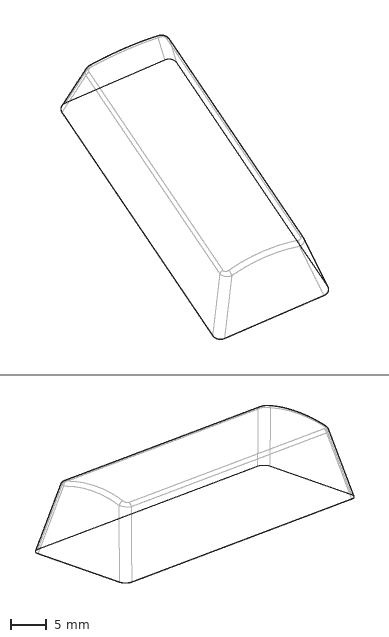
import cadquery as cq

LENGTH = 46.9
WIDTH = 18.3
HEIGHT = 11.4

DRAFT_ANGLE = 14.0
CROWN_RADIUS = 21.55
CORNER_RADIUS = 1.25
TOP_EDGE_RADIUS = 0.7


def tapered_block():
    """Rectangular block whose walls all lean inward."""
    return cq.Workplane("XY").rect(LENGTH, WIDTH).extrude(HEIGHT, taper=DRAFT_ANGLE)


def crown_cylinder():
    """Cylinder along X whose highest line is at the full height of the part."""
    return (
        cq.Workplane("YZ")
        .center(0, HEIGHT - CROWN_RADIUS)
        .circle(CROWN_RADIUS)
        .extrude(LENGTH / 2, both=True)
    )


def round_slanted_corners(body):
    """Round the four corner edges, the only straight edges that are not level."""
    return body.edges("%LINE and (not #Z)").fillet(CORNER_RADIUS)


def round_top_rim(body):
    """Round the whole rim of the crowned face, the face with the highest centre."""
    return body.faces(">Z").edges().fillet(TOP_EDGE_RADIUS)


crowned_block = tapered_block().intersect(crown_cylinder())
result = round_top_rim(round_slanted_corners(crowned_block))